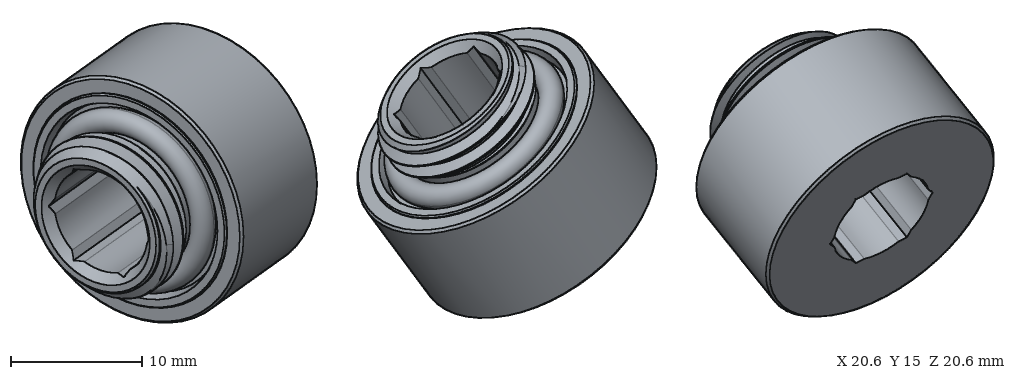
import cadquery as cq
import math

TOTAL_LENGTH = 15.0

BODY_RADIUS = 10.3
BODY_LENGTH = 10.3
BODY_CHAMFER = 0.2
RIM_RADIUS = 8.95
RIM_HEIGHT = 0.2
RIM_CHAMFER = 0.12

GROOVE_MOUTH_RADIUS = 8.18
GROOVE_FLOOR_RADIUS = 7.95
GROOVE_DEPTH = 0.93
RING_CENTRE_RADIUS = 6.7
RING_SECTION_RADIUS = 0.99

THREAD_RADIUS = 6.6
ROOT_RADIUS = 5.77
TIP_RADIUS = 5.58
PITCH = 1.34
CREST_WIDTH = 0.12
TOOTH_ROOT_WIDTH = 0.95
TOOTH_OVERLAP = 0.1
THREAD_TURNS = 4.5
CREST_FROM_TIP = 2.18
RUNOUT_GAP = 0.06
RELIEF_RADIUS = 5.73
CREST_CLEARANCE = 0.2

BORE_RADIUS = 4.28
HEX_ACROSS_FLATS = 8.0
COUNTERSINK_RADIUS = 5.0
COUNTERSINK_DEPTH = 0.72

RIM_FACE = BODY_LENGTH + RIM_HEIGHT
GROOVE_FLOOR = RIM_FACE - GROOVE_DEPTH
RING_TOP = BODY_LENGTH + RING_SECTION_RADIUS


def revolve_profile(points):
    """Revolve a closed (radius, height) outline about the Z axis."""
    return cq.Workplane("XZ").polyline(points).close().revolve(360, (0, 0), (0, 1))


def make_body():
    """Cylinder with chamfered edges, raised rim and sealing groove."""
    return revolve_profile([
        (0, 0),
        (BODY_RADIUS - BODY_CHAMFER, 0),
        (BODY_RADIUS, BODY_CHAMFER),
        (BODY_RADIUS, BODY_LENGTH - BODY_CHAMFER),
        (BODY_RADIUS - BODY_CHAMFER, BODY_LENGTH),
        (RIM_RADIUS, BODY_LENGTH),
        (RIM_RADIUS, RIM_FACE - RIM_CHAMFER),
        (RIM_RADIUS - RIM_CHAMFER, RIM_FACE),
        (GROOVE_MOUTH_RADIUS, RIM_FACE),
        (GROOVE_FLOOR_RADIUS, GROOVE_FLOOR),
        (0, GROOVE_FLOOR),
    ])


def make_seal_ring():
    """O-ring, merged with the groove floor and the stem."""
    section = cq.Workplane("XZ").center(RING_CENTRE_RADIUS, BODY_LENGTH).circle(RING_SECTION_RADIUS)
    return section.revolve(360, (-RING_CENTRE_RADIUS, 0), (-RING_CENTRE_RADIUS, 1))


def make_stem():
    """Core with a right-hand thread, trimmed by a relief and the tip chamfer."""
    crest_start = TOTAL_LENGTH - CREST_FROM_TIP - 2 * PITCH
    helix = cq.Wire.makeHelix(PITCH, THREAD_TURNS * PITCH, ROOT_RADIUS, cq.Vector(0, 0, crest_start))
    flank_slope = (TOOTH_ROOT_WIDTH - CREST_WIDTH) / (THREAD_RADIUS - ROOT_RADIUS)
    buried_radius = ROOT_RADIUS - TOOTH_OVERLAP
    buried_half_width = (TOOTH_ROOT_WIDTH + flank_slope * TOOTH_OVERLAP) / 2
    tooth = cq.Workplane("XZ").polyline([
        (buried_radius, crest_start - buried_half_width),
        (THREAD_RADIUS, crest_start - CREST_WIDTH / 2),
        (THREAD_RADIUS, crest_start + CREST_WIDTH / 2),
        (buried_radius, crest_start + buried_half_width),
    ]).close()
    thread = tooth.sweep(cq.Workplane(helix), isFrenet=True)

    core_length = THREAD_TURNS * PITCH + PITCH
    core = cq.Workplane("XY", origin=(0, 0, GROOVE_FLOOR)).circle(ROOT_RADIUS).extrude(core_length)

    outer_radius = THREAD_RADIUS + CREST_CLEARANCE
    tip_limits = revolve_profile([
        (0, 0),
        (outer_radius, 0),
        (outer_radius, TOTAL_LENGTH - (outer_radius - TIP_RADIUS)),
        (TIP_RADIUS, TOTAL_LENGTH),
        (0, TOTAL_LENGTH),
    ])
    runout_start = RING_TOP + RUNOUT_GAP
    relief = revolve_profile([
        (RELIEF_RADIUS, 0),
        (RELIEF_RADIUS, runout_start),
        (outer_radius, runout_start + outer_radius - RELIEF_RADIUS),
        (outer_radius, 0),
    ])
    return core.union(thread).intersect(tip_limits).cut(relief)


def make_bore():
    """Through bore, hexagonal socket with corners on X, and countersunk mouth."""
    hex_diameter = HEX_ACROSS_FLATS / math.cos(math.pi / 6)
    bore = cq.Workplane("XY").circle(BORE_RADIUS).extrude(TOTAL_LENGTH)
    socket = cq.Workplane("XY").polygon(6, hex_diameter).extrude(TOTAL_LENGTH)
    countersink = revolve_profile([
        (0, TOTAL_LENGTH),
        (COUNTERSINK_RADIUS, TOTAL_LENGTH),
        (BORE_RADIUS, TOTAL_LENGTH - COUNTERSINK_DEPTH),
        (0, TOTAL_LENGTH - COUNTERSINK_DEPTH),
    ])
    return bore.union(socket).union(countersink)


plug = make_body().union(make_seal_ring()).union(make_stem()).cut(make_bore())

result = plug.rotate((0, 0, 0), (1, 0, 0), 90)